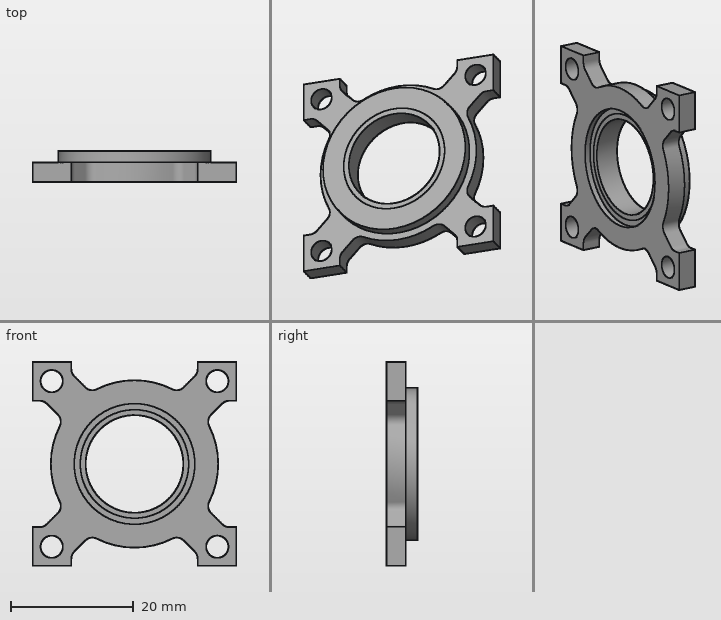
import cadquery as cq

plate_size = 33.27
total_depth = 5.1
boss_depth = 1.9
plate_depth = total_depth - boss_depth
front_y = -total_depth / 2

disc_radius = 13.67
boss_radius = 12.48
recess_radius = 9.85
sleeve_radius = 8.85
bore_radius = 7.95
recess_depth = 1.0

ear_size = 6.35
arm_width = ear_size
hole_radius = 1.8
hole_offset = 13.5
ear_offset = (plate_size - ear_size) / 2
arm_root_fillet = 1.6
ear_fillet = 1.6


def cylinder(radius, start_y, depth):
    """Cylinder on the Y axis that runs from start_y toward +Y."""
    return cq.Workplane("XZ", origin=(0, start_y, 0)).circle(radius).extrude(-depth)


def corner_points(offset):
    """Four points mirrored about the X and Z axes."""
    return [(x, z) for x in (-offset, offset) for z in (-offset, offset)]


def make_plate():
    """Disc with four diagonal arms that end in square ears, inner corners rounded."""
    plane = cq.Workplane("XZ", origin=(0, front_y, 0))
    plate = cylinder(disc_radius, front_y, plate_depth)
    arm_length = 2 * ear_offset * 2**0.5
    for angle in (45, 135):
        arm = plane.transformed(rotate=(0, 0, angle)).rect(arm_length, arm_width)
        plate = plate.union(arm.extrude(-plate_depth))
    ears = plane.pushPoints(corner_points(ear_offset)).rect(ear_size, ear_size).extrude(-plate_depth)
    plate = plate.union(ears)

    ear_inner = plate_size / 2 - ear_size
    ear_joint = ear_inner + arm_width / 2**0.5
    along = (disc_radius**2 - (arm_width / 2) ** 2) ** 0.5
    root_near = (along - arm_width / 2) / 2**0.5
    root_far = (along + arm_width / 2) / 2**0.5
    plate = round_corners(plate, root_near, root_far, arm_root_fillet)
    return round_corners(plate, ear_inner, ear_joint, ear_fillet)


def round_corners(plate, near, far, radius):
    """Fillet the eight edges along Y at the mirrored places (near, far) and (far, near)."""
    reach = 0.03
    edges = cq.Workplane("XZ")
    for a, b in ((near, far), (far, near)):
        for x in (-a, a):
            for z in (-b, b):
                low = (x - reach, front_y - reach, z - reach)
                high = (x + reach, front_y + plate_depth + reach, z + reach)
                edges = edges.add(plate.edges(cq.selectors.BoxSelector(low, high)).vals())
    return plate.newObject([plate.val().fillet(radius, edges.vals())])


def make_housing():
    """Plate with a rear boss, a front recess, a sleeve bore and four ear holes."""
    housing = make_plate().union(cylinder(boss_radius, front_y + plate_depth, boss_depth))
    housing = housing.cut(cylinder(recess_radius, front_y, recess_depth))
    housing = housing.cut(cylinder(sleeve_radius, front_y, total_depth))
    holes = cq.Workplane("XZ", origin=(0, front_y, 0)).pushPoints(corner_points(hole_offset))
    return housing.cut(holes.circle(hole_radius).extrude(-plate_depth))


def make_sleeve():
    """Plain ring in the housing bore, flush with the recess floor and the boss face."""
    start_y = front_y + recess_depth
    depth = total_depth - recess_depth
    return cylinder(sleeve_radius, start_y, depth).cut(cylinder(bore_radius, start_y, depth))


housing = make_housing()
sleeve = make_sleeve()

result = cq.Compound.makeCompound([housing.val(), sleeve.val()])